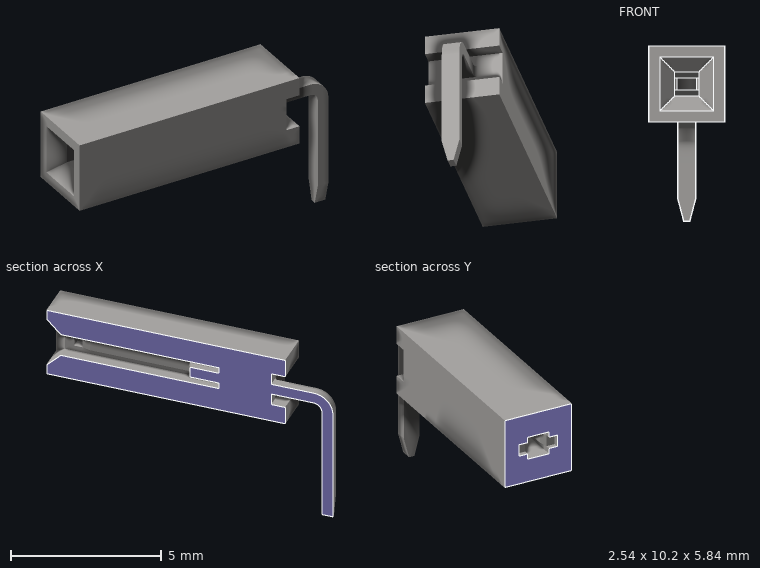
import cadquery as cq

housing_side = 2.54
housing_length = 8.51
notch_depth = 0.5
notch_height = 1.2

mouth_side = 1.8
cavity_side = 0.81
funnel_depth = 0.5
cavity_depth = 6.12

slot_start = 0.82
slot_width = 1.43

strip_thickness = 0.41
fork_start = 1.12
fork_gap = 0.65
lead_in_length = 0.31
gap_end = 5.1
gap_end_rise = 0.15
pin_width = 0.6
shoulder_radius = 0.1
bend_inner_radius = 0.29
bend_outer_radius = bend_inner_radius + strip_thickness
overall_length = 10.2
overall_height = 5.84
tip_length = 0.75
tip_width = 0.2

notch_floor = housing_length - notch_depth
pin_bottom = housing_side / 2 - overall_height


def block(width, y_start, y_end, height):
    """Box centred on X and Z, running from y_start to y_end."""
    length = y_end - y_start
    return cq.Workplane("XY").box(width, length, height).translate((0, (y_start + y_end) / 2, 0))


def make_housing():
    body = block(housing_side, 0, housing_length, housing_side)
    notch = block(housing_side, notch_floor, housing_length, notch_height)
    funnel = (
        cq.Workplane("XZ")
        .rect(mouth_side, mouth_side)
        .workplane(offset=-funnel_depth)
        .rect(cavity_side, cavity_side)
        .loft(ruled=True)
    )
    cavity = block(cavity_side, funnel_depth, cavity_depth, cavity_side)
    slots = block(slot_width, slot_start, cavity_depth, strip_thickness)
    return body.cut(notch).cut(funnel).cut(cavity).cut(slots)


def make_fork():
    """Plate filling the slots, with an arc-bottomed gap that flares at its entry."""
    plate = block(slot_width, fork_start, cavity_depth, strip_thickness)
    lead_in_end = fork_start + lead_in_length
    half_gap = fork_gap / 2
    arc_start = gap_end - gap_end_rise
    gap = (
        cq.Workplane("XY", origin=(0, 0, -strip_thickness / 2))
        .moveTo(-cavity_side / 2, fork_start)
        .lineTo(cavity_side / 2, fork_start)
        .lineTo(half_gap, lead_in_end)
        .lineTo(half_gap, arc_start)
        .threePointArc((0, gap_end), (-half_gap, arc_start))
        .lineTo(-half_gap, lead_in_end)
        .close()
        .extrude(strip_thickness)
    )
    return plate.cut(gap)


def make_pin():
    """Strip leaving the notch floor, bent down and narrowed at its tip."""
    half_thickness = strip_thickness / 2
    leg_inside = overall_length - strip_thickness
    bar = block(pin_width, notch_floor, overall_length, strip_thickness)
    leg = (
        cq.Workplane("XZ", origin=(0, overall_length, 0))
        .moveTo(-pin_width / 2, half_thickness)
        .lineTo(pin_width / 2, half_thickness)
        .lineTo(pin_width / 2, pin_bottom + tip_length)
        .lineTo(tip_width / 2, pin_bottom)
        .lineTo(-tip_width / 2, pin_bottom)
        .lineTo(-pin_width / 2, pin_bottom + tip_length)
        .close()
        .extrude(strip_thickness)
    )
    inner_bend = (
        cq.Workplane("YZ", origin=(-pin_width / 2, 0, 0))
        .moveTo(leg_inside, -half_thickness)
        .lineTo(leg_inside, -half_thickness - bend_inner_radius)
        .radiusArc((leg_inside - bend_inner_radius, -half_thickness), -bend_inner_radius)
        .close()
        .extrude(pin_width)
    )
    bent = bar.union(leg)
    bent = bent.edges(cq.selectors.NearestToPointSelector((0, overall_length, half_thickness)))
    return bent.fillet(bend_outer_radius).union(inner_bend)


def make_shoulder():
    """Concave fillets on both sides where the pin enters the housing."""
    half_pin = pin_width / 2
    half_shoulder = half_pin + shoulder_radius
    shoulder_end = notch_floor + shoulder_radius
    return (
        cq.Workplane("XY", origin=(0, 0, -strip_thickness / 2))
        .moveTo(-half_shoulder, notch_floor)
        .lineTo(half_shoulder, notch_floor)
        .radiusArc((half_pin, shoulder_end), shoulder_radius)
        .lineTo(-half_pin, shoulder_end)
        .radiusArc((-half_shoulder, notch_floor), shoulder_radius)
        .close()
        .extrude(strip_thickness)
    )


result = make_housing().union(make_fork()).union(make_pin()).union(make_shoulder())